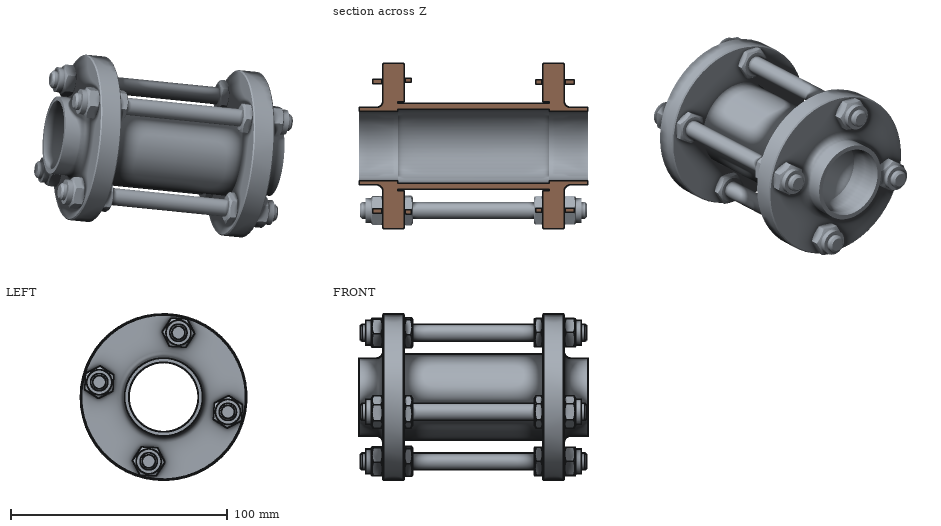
import cadquery as cq
import math

total_length = 106.0
stub_length = 11.0
flange_thickness = 10.0
flange_diameter = 77.0
flange_chamfer = 0.5

stub_diameter = 36.0
bore_diameter = 32.0
neck_fillet = 3.0

tube_diameter = 40.0
tube_bore = 34.0
recess_diameter = 41.0
recess_depth = 3.0

rod_count = 4
rod_circle_radius = 30.5
rod_lean_angle = 13.0
rod_diameter = 8.0
rod_end_gap = 0.5
rod_chamfer = 1.0

nut_flats = 13.0
lock_nut_hex_height = 5.4
lock_nut_height = 8.0
collar_diameter = 11.6
thin_nut_height = 4.0
seat_face_diameter = 12.5
nut_chamfer_angle = 30.0
left_lock_nut_turn = 3.0
left_thin_nut_turn = 8.0
right_nut_turn = -1.0

half_length = total_length / 2
flange_outer_x = half_length - stub_length
flange_inner_x = flange_outer_x - flange_thickness
recess_floor_x = flange_inner_x + recess_depth


def x_cylinder(diameter, start_x, end_x):
    """Cylinder about the X axis between two X positions."""
    return cq.Workplane("YZ", origin=(start_x, 0, 0)).circle(diameter / 2).extrude(end_x - start_x)


def flange():
    """Right-hand flange with its pipe stub, revolved about X."""
    stub_radius = stub_diameter / 2
    flange_radius = flange_diameter / 2
    bend = neck_fillet * (1 - math.sqrt(0.5))
    profile = (
        cq.Workplane("XY")
        .moveTo(half_length, bore_diameter / 2)
        .lineTo(half_length, stub_radius)
        .lineTo(flange_outer_x + neck_fillet, stub_radius)
        .threePointArc(
            (flange_outer_x + bend, stub_radius + bend),
            (flange_outer_x, stub_radius + neck_fillet),
        )
        .lineTo(flange_outer_x, flange_radius - flange_chamfer)
        .lineTo(flange_outer_x - flange_chamfer, flange_radius)
        .lineTo(flange_inner_x + flange_chamfer, flange_radius)
        .lineTo(flange_inner_x, flange_radius - flange_chamfer)
        .lineTo(flange_inner_x, recess_diameter / 2)
        .lineTo(recess_floor_x, recess_diameter / 2)
        .lineTo(recess_floor_x, bore_diameter / 2)
        .close()
    )
    return profile.revolve(360, (0, 0, 0), (1, 0, 0))


def sight_tube():
    """Plain tube spanning the two recess floors."""
    outside = x_cylinder(tube_diameter, -recess_floor_x, recess_floor_x)
    return outside.cut(x_cylinder(tube_bore, -recess_floor_x, recess_floor_x))


def hex_nut(height, turn):
    """Hexagon on the X axis, seated at X = 0 and growing to +X, with corners chamfered at both ends."""
    corner_radius = nut_flats / 2 / math.cos(math.radians(30))
    slope = math.tan(math.radians(nut_chamfer_angle))
    seat_radius = seat_face_diameter / 2
    free_radius = collar_diameter / 2
    prism = cq.Workplane("YZ").polygon(6, 2 * corner_radius).extrude(height)
    envelope = (
        cq.Workplane("XY")
        .moveTo(0, 0)
        .lineTo(0, seat_radius)
        .lineTo((corner_radius - seat_radius) * slope, corner_radius)
        .lineTo(height - (corner_radius - free_radius) * slope, corner_radius)
        .lineTo(height, free_radius)
        .lineTo(height, 0)
        .close()
        .revolve(360, (0, 0, 0), (1, 0, 0))
    )
    return prism.intersect(envelope).rotate((0, 0, 0), (1, 0, 0), turn)


def facing_left(body):
    """Flip a body seated at X = 0 so that it grows toward -X."""
    return body.mirror("YZ")


def lock_nut(turn):
    """Hex nut with a round locking collar on its free end."""
    collar = x_cylinder(collar_diameter, lock_nut_hex_height, lock_nut_height)
    return hex_nut(lock_nut_hex_height, turn).union(collar)


def tie_rod():
    """Chamfered rod with four nuts, along the X axis."""
    rod_end_x = half_length - rod_end_gap
    rod = x_cylinder(rod_diameter, -rod_end_x, rod_end_x).faces("<X or >X").chamfer(rod_chamfer)
    nuts = [
        facing_left(lock_nut(left_lock_nut_turn)).translate((-flange_outer_x, 0, 0)),
        hex_nut(thin_nut_height, left_thin_nut_turn).translate((-flange_inner_x, 0, 0)),
        facing_left(hex_nut(thin_nut_height, right_nut_turn)).translate((flange_inner_x, 0, 0)),
        lock_nut(right_nut_turn).translate((flange_outer_x, 0, 0)),
    ]
    for nut in nuts:
        rod = rod.union(nut)
    return rod


right_flange = flange()
result = right_flange.union(right_flange.mirror("YZ")).union(sight_tube())

first_rod = tie_rod().translate((
    0,
    -rod_circle_radius * math.sin(math.radians(rod_lean_angle)),
    rod_circle_radius * math.cos(math.radians(rod_lean_angle)),
))
for index in range(rod_count):
    result = result.union(first_rod.rotate((0, 0, 0), (1, 0, 0), index * 360 / rod_count))